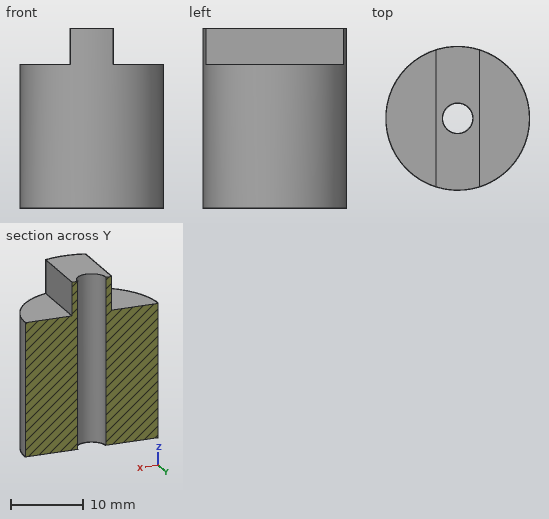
import cadquery as cq

body_diameter = 20.0
body_height = 20.0
tongue_width = 6.0
tongue_height = 5.0
bore_diameter = 4.2

total_height = body_height + tongue_height


def make_cylinder(diameter, height):
    """Upright cylinder standing on the base plane, centred on the Z axis."""
    return cq.Workplane("XY").circle(diameter / 2).extrude(height)


def make_tongue():
    """Drive tongue across the top along Y, with ends following the body's round side."""
    bar = (
        cq.Workplane("XY")
        .workplane(offset=body_height)
        .rect(tongue_width, body_diameter)
        .extrude(tongue_height)
    )
    return bar.intersect(make_cylinder(body_diameter, total_height))


body = make_cylinder(body_diameter, body_height)
through_bore = make_cylinder(bore_diameter, total_height)

result = body.union(make_tongue()).cut(through_bore)